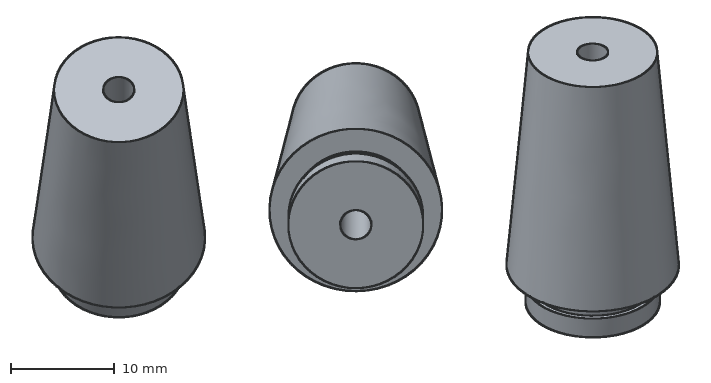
import cadquery as cq

total_height = 28.5
flange_height = 2.17
neck_height = 2.0
body_base = flange_height + neck_height

flange_diameter = 13.0
neck_diameter = 12.0
body_base_diameter = 16.65
body_top_diameter = 12.45
bore_diameter = 3.0


def make_flange():
    return cq.Workplane("XY").circle(flange_diameter / 2).extrude(flange_height)


def make_neck():
    return cq.Workplane("XY").circle(neck_diameter / 2).extrude(body_base)


def make_body():
    """Tapered body, wide at the neck and narrow at the top."""
    return (
        cq.Workplane("XY", origin=(0, 0, body_base))
        .circle(body_base_diameter / 2)
        .workplane(offset=total_height - body_base)
        .circle(body_top_diameter / 2)
        .loft(ruled=True)
    )


def make_bore():
    return cq.Workplane("XY").circle(bore_diameter / 2).extrude(total_height)


result = make_flange().union(make_neck()).union(make_body()).cut(make_bore())